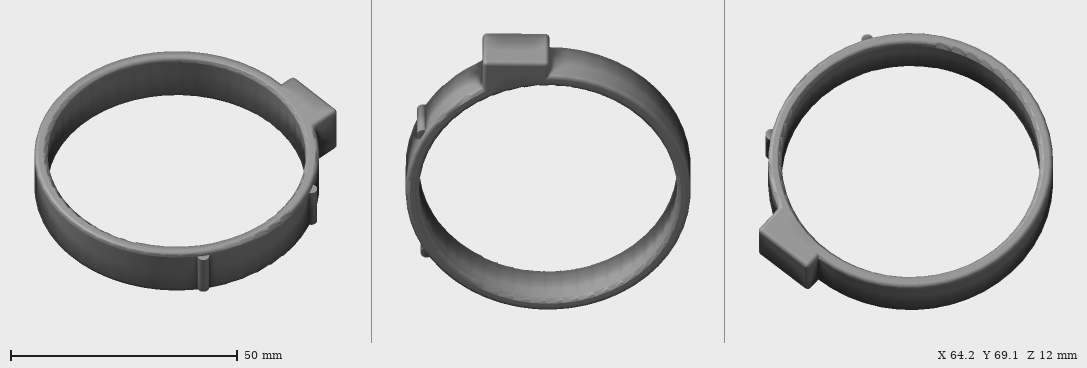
import cadquery as cq
import math

ring_height = 12.0
inner_radius = 28.5
outer_radius = 31.5
edge_round = 1.0
straight_height = ring_height - 2 * edge_round

lug_angle = 117
lug_reach = 35.0
lug_width = 14.8

rib_radius = 1.3
rib_start_angle = -5
rib_end_angle = 55

strip_thickness = 2.0
strip_outer_radius = inner_radius + strip_thickness
strip_span = 360 - (rib_end_angle - rib_start_angle)


def centred_cylinder(radius, height):
    return cq.Workplane("XY").cylinder(height, radius)


def make_lug():
    inner_reach = inner_radius - lug_width / 2
    return (
        cq.Workplane("XY")
        .box(lug_reach - inner_reach, lug_width, ring_height, centered=(False, False, True))
        .translate((inner_reach, -lug_width, 0))
        .edges("not <X")
        .fillet(edge_round)
    )


def make_ring_with_lug():
    body = centred_cylinder(outer_radius, ring_height).edges().fillet(edge_round).union(make_lug())
    corner = (math.sqrt(outer_radius**2 - lug_width**2), -lug_width, 0)
    body = body.edges(cq.selectors.NearestToPointSelector(corner)).fillet(edge_round)
    return body.rotate((0, 0, 0), (0, 0, 1), lug_angle)


def make_rib(angle):
    direction = math.radians(angle)
    centre = (outer_radius * math.cos(direction), outer_radius * math.sin(direction), 0)
    return centred_cylinder(rib_radius, straight_height).translate(centre)


def make_strip():
    half_height = straight_height / 2
    return (
        cq.Workplane("XZ")
        .moveTo(inner_radius, -half_height)
        .lineTo(strip_outer_radius, -half_height)
        .lineTo(strip_outer_radius, half_height)
        .lineTo(inner_radius, half_height)
        .close()
        .revolve(strip_span, (0, 0), (0, -1))
        .rotate((0, 0, 0), (0, 0, 1), rib_start_angle)
    )


def make_bore():
    half_height = ring_height / 2
    half_straight = straight_height / 2
    mouth_radius = inner_radius + edge_round
    return (
        cq.Workplane("XZ")
        .moveTo(0, -half_height)
        .lineTo(mouth_radius, -half_height)
        .radiusArc((inner_radius, -half_straight), edge_round)
        .lineTo(inner_radius, half_straight)
        .radiusArc((mouth_radius, half_height), edge_round)
        .lineTo(0, half_height)
        .close()
        .revolve(360, (0, 0), (0, 1))
    )


def make_housing(pocket):
    body = make_ring_with_lug()
    for angle in (rib_start_angle, rib_end_angle):
        body = body.union(make_rib(angle))
    return body.cut(make_bore()).cut(pocket)


strip = make_strip()
housing = make_housing(strip)

result = cq.Compound.makeCompound([*housing.solids().vals(), strip.val()])